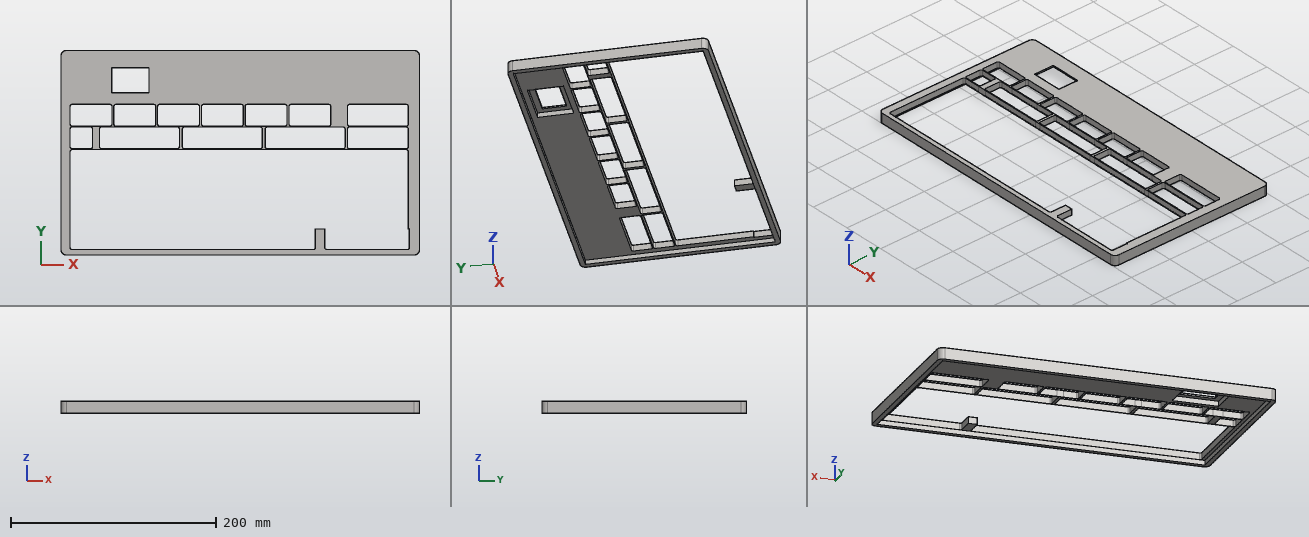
import cadquery as cq

length = 350.0
depth = 200.0
height = 12.0
outer_radius = 5.5

rim_wall = 5.2
plate_thickness = 7.0

left_border = 9.0
right_border = 11.2
front_border = 5.5
back_border = 53.0
key_radius = 1.8

key_depth = 21.0
row_bar = 1.0

back_key_count = 6
back_key_width = 40.5
back_key_pitch = 42.7

small_key_width = 21.7
wide_key_count = 3
wide_key_start = 37.8
wide_key_width = 77.7
wide_key_pitch = 81.0

right_key_start = 279.5

tab_start = 248.0
tab_width = 9.5
tab_length = 20.0
relief_depth = 1.0

window_start = 49.7
window_from_back = 17.0
window_width = 36.0
window_depth = 24.0
window_lip = 1.8
recess_margin = 6.0

cavity_height = height - plate_thickness
key_field_right = length - right_border
back_row_front = depth - back_border - key_depth
second_row_front = back_row_front - row_bar - key_depth
main_opening_back = second_row_front - row_bar


def block(x, y, z, width, span, tall):
    """Box with its lowest front left corner at (x, y, z)."""
    return cq.Workplane("XY").box(width, span, tall, centered=False).translate((x, y, z))


def through_block(x, y, width, span):
    """Box running through the full height of the case."""
    return block(x, y, 0, width, span, height)


def key_opening(x, y, width):
    """Through cut for one key, with rounded corners."""
    return through_block(x, y, width, key_depth).edges("|Z").fillet(key_radius)


def case_body():
    body = through_block(0, 0, length, depth).edges("|Z").fillet(outer_radius)
    hollow = block(rim_wall, rim_wall, 0, length - 2 * rim_wall, depth - 2 * rim_wall, cavity_height)
    return body.cut(hollow)


def key_openings():
    openings = []
    for i in range(back_key_count):
        openings.append(key_opening(left_border + i * back_key_pitch, back_row_front, back_key_width))
    openings.append(key_opening(left_border, second_row_front, small_key_width))
    for i in range(wide_key_count):
        openings.append(key_opening(wide_key_start + i * wide_key_pitch, second_row_front, wide_key_width))
    for row_front in (back_row_front, second_row_front):
        openings.append(key_opening(right_key_start, row_front, key_field_right - right_key_start))
    return openings


def main_opening():
    """Large opening in front of the key rows, shaped around the tab and the relief."""
    tab_end = tab_start + tab_width
    tab_back = front_border + tab_length
    relief_right = key_field_right + relief_depth
    outline = [
        (left_border, front_border),
        (tab_start, front_border),
        (tab_start, tab_back),
        (tab_end, tab_back),
        (tab_end, front_border),
        (relief_right, front_border),
        (relief_right, tab_back),
        (key_field_right, tab_back),
        (key_field_right, main_opening_back),
        (left_border, main_opening_back),
    ]
    opening = cq.Workplane("XY").polyline(outline).close().extrude(height)
    return opening.faces("<Y or >Y").edges("|Z").fillet(key_radius)


def display_window():
    window_front = depth - window_from_back - window_depth
    window = through_block(window_start, window_front, window_width, window_depth)
    recess = block(
        window_start - recess_margin,
        window_front - recess_margin,
        0,
        window_width + 2 * recess_margin,
        window_depth + 2 * recess_margin,
        height - window_lip,
    )
    return window.union(recess)


result = case_body().cut(main_opening()).cut(display_window())
for opening in key_openings():
    result = result.cut(opening)